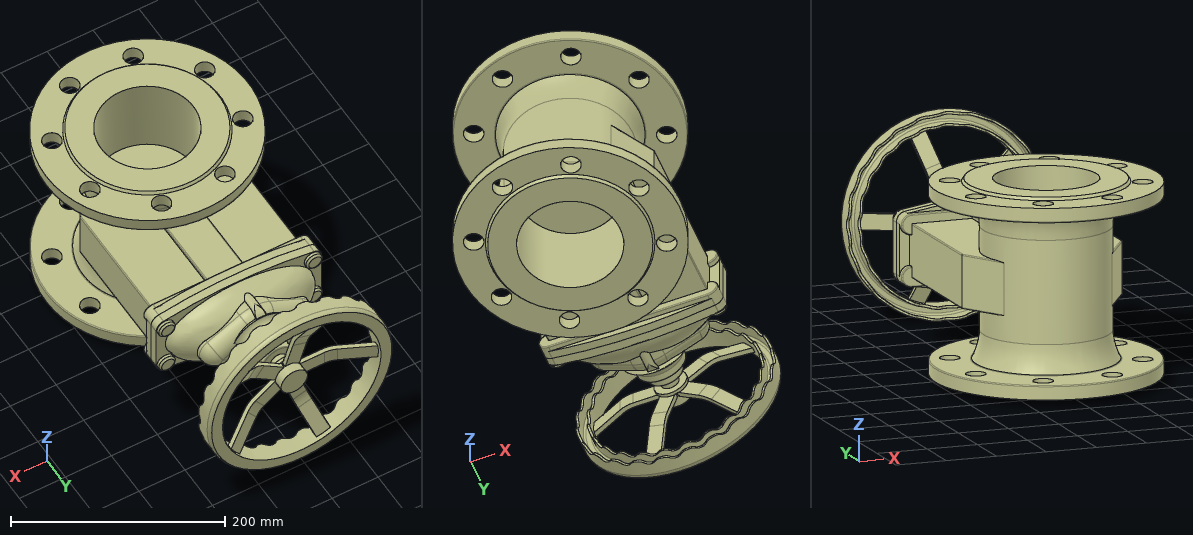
import cadquery as cq
import math


FACE_TO_FACE = 190.0
FLANGE_D = 220.0
FLANGE_T = 14.0
FLANGE_FILLET = 1.0
RAISED_FACE_H = 3.0
RAISED_FACE_D = 158.0
RAISED_FACE_TIP_D = 154.0
BORE_D = 100.0
GATE_T = 20.0
BOLT_CIRCLE_D = 180.0
FLANGE_HOLE_D = 19.0
FLANGE_HOLES = 8
BARREL_R = 62.5
BARREL_HALF_H = 50.0
FLARE_R = 70.0

CHAMBER_HALF_X = 80.0
CHAMBER_HALF_Z = 26.0
CHAMBER_SHOULDER_Y = 11.0
CHAMBER_TOE_Y = -33.5
RIB_HALF_X = 20.0
RIB_HALF_Z = 30.0
CHAMBER_FILLET = 1.0

JOINT_Y = 157.0
HOUSING_PLATE_T = 8.5
RAIL_T = 5.6
RAIL_FILLET = 1.0
BONNET_PLATE_T = 9.0
BOLT_X = 80.0
BOLT_Z = 25.0
CORNER_R = 10.0
PLATE_HALF_Z = 42.8

BOLT_SHANK_D = 10.0
BOLT_HEAD_D = 18.0
BOLT_HEAD_H = 5.0
BOLT_HEAD_CHAMFER = 2.0
BOLT_DEPTH = 10.0
SPOT_FACE_D = 20.0

SKIRT_HALF_X = 80.0
SKIRT_HALF_Z = 41.5
SKIRT_H = 37.0
CROWN_TOP_Y = 210.0
CROWN_FILLET = 15.8
CROWN_R = 36.0
NOSE_R = 16.0
NOSE_TIP_X = 60.0
CROWN_RIB_W = 10.62
CROWN_RIB_HALF_Z = 38.8
COLLAR_D = 50.0
COLLAR_TOP_Y = 226.0
COLLAR_FOOT_Y = 218.5
NECK_FOOT_R = 34.0
NECK_FOOT_DROP = 1.5
NECK_FLARE_R = 12.0
NECK_BASE_R = 24.0
GLAND_D = 35.0
GLAND_TOP_Y = 237.5
COLLAR_EDGE_FILLET = 0.8

WHEEL_R = 100.0
WHEEL_TOP_Y = 280.0
RIM_H = 21.5
RIM_INNER_R = 86.0
RIM_WALL = 2.5
RIM_WEB_T = 6.0
RIM_WEB_FILLET = 2.0
RIM_CROWN_H = 5.0
RIM_CROWN_INSET = 2.0
GRIP_WAVES = 24
GRIP_DEPTH = 4.0
SPOKES = 5
SPOKE_W = 16.0
SPOKE_T = 5.0
SPOKE_FLAT_R = 39.0
SPOKE_BEND_R = 53.5
SPOKE_RISE = 25.0
SPOKE_END_R = 87.5
HUB_BOTTOM_Y = 251.5
HUB_D = 28.89
HUB_H = 15.0
WASHER_D = 33.33
WASHER_H = 3.5
STEM_D = 17.78


def plan(y):
    """Sketch plane square to the stem at height y; local axes are X and Z."""
    return cq.Workplane("XZ", origin=(0, y, 0))


def rod(diameter, y_low, y_high):
    """Cylinder on the stem axis."""
    return plan(y_low).circle(diameter / 2).extrude(y_low - y_high)


def at_bolts(shape):
    """One copy of the shape at each of the four bolt positions."""
    return [shape.translate((sx * BOLT_X, 0, sz * BOLT_Z)) for sx in (-1, 1) for sz in (-1, 1)]


def joint_plate(y_low, y_high):
    """Plate with round corners about the bolts and long sides bowed outwards."""
    bow_z = PLATE_HALF_Z - BOLT_Z
    bow_r = (BOLT_X**2 + bow_z**2 - CORNER_R**2) / (2 * (bow_z - CORNER_R))
    tilt = math.asin(BOLT_X / (bow_r - CORNER_R))
    end_x = BOLT_X + CORNER_R
    tangent = (BOLT_X + CORNER_R * math.sin(tilt), BOLT_Z + CORNER_R * math.cos(tilt))
    half_turn = (math.pi / 2 - tilt) / 2
    corner = (BOLT_X + CORNER_R * math.cos(half_turn), BOLT_Z + CORNER_R * math.sin(half_turn))
    outline = (
        plan(y_low)
        .moveTo(end_x, -BOLT_Z)
        .lineTo(end_x, BOLT_Z)
        .threePointArc(corner, tangent)
        .threePointArc((0, PLATE_HALF_Z), (-tangent[0], tangent[1]))
        .threePointArc((-corner[0], corner[1]), (-end_x, BOLT_Z))
        .lineTo(-end_x, -BOLT_Z)
        .threePointArc((-corner[0], -corner[1]), (-tangent[0], -tangent[1]))
        .threePointArc((0, -PLATE_HALF_Z), (tangent[0], -tangent[1]))
        .threePointArc((corner[0], -corner[1]), (end_x, -BOLT_Z))
        .close()
    )
    return outline.extrude(y_low - y_high)


def make_bolt():
    """Round-headed bolt on the stem axis, ready to be moved to a corner."""
    seat_y = JOINT_Y + BONNET_PLATE_T
    head = rod(BOLT_HEAD_D, seat_y, seat_y + BOLT_HEAD_H).faces(">Y").chamfer(BOLT_HEAD_CHAMFER)
    return head.union(rod(BOLT_SHANK_D, JOINT_Y - BOLT_DEPTH, seat_y))


def bolt_hole():
    return rod(BOLT_SHANK_D, JOINT_Y - BOLT_DEPTH, JOINT_Y + BONNET_PLATE_T)


def pipe_end():
    """Upper flared neck with its flange and raised face."""
    face_z = FACE_TO_FACE / 2
    flange_top = face_z - RAISED_FACE_H
    flange_bottom = flange_top - FLANGE_T
    flare_h = flange_bottom - BARREL_HALF_H
    flare_out = FLARE_R - BARREL_R
    arc_r = (flare_h**2 + flare_out**2) / (2 * flare_out)
    half_angle = math.asin(flare_h / arc_r) / 2
    arc_mid = (
        BARREL_R + arc_r * (1 - math.cos(half_angle)),
        BARREL_HALF_H + arc_r * math.sin(half_angle),
    )
    profile = (
        cq.Workplane("XZ")
        .moveTo(0, BARREL_HALF_H)
        .lineTo(BARREL_R, BARREL_HALF_H)
        .threePointArc(arc_mid, (FLARE_R, flange_bottom))
        .lineTo(FLANGE_D / 2, flange_bottom)
        .lineTo(FLANGE_D / 2, flange_top)
        .lineTo(RAISED_FACE_D / 2, flange_top)
        .lineTo(RAISED_FACE_TIP_D / 2, face_z)
        .lineTo(0, face_z)
        .close()
    )
    inner_side = cq.selectors.BoxSelector((-1, -1, flange_bottom - 1), (1, 1, flange_bottom + 1))
    end = profile.revolve(360, (0, 0), (0, 1)).edges(inner_side).fillet(FLANGE_FILLET)
    holes = (
        cq.Workplane("XY", origin=(0, 0, flange_bottom))
        .polarArray(BOLT_CIRCLE_D / 2, 180 / FLANGE_HOLES, 360, FLANGE_HOLES)
        .circle(FLANGE_HOLE_D / 2)
        .extrude(FLANGE_T)
    )
    return end.cut(holes)


def gate_chamber():
    """Flat box for the gate, tapering into the barrel, with a thicker middle rib."""
    top_y = JOINT_Y - HOUSING_PLATE_T
    toe_x = math.sqrt(BARREL_R**2 - CHAMBER_TOE_Y**2)
    box = (
        cq.Workplane("XY", origin=(0, 0, -CHAMBER_HALF_Z))
        .polyline([
            (-CHAMBER_HALF_X, top_y),
            (-CHAMBER_HALF_X, CHAMBER_SHOULDER_Y),
            (-toe_x, CHAMBER_TOE_Y),
            (toe_x, CHAMBER_TOE_Y),
            (CHAMBER_HALF_X, CHAMBER_SHOULDER_Y),
            (CHAMBER_HALF_X, top_y),
        ])
        .close()
        .extrude(2 * CHAMBER_HALF_Z)
        .faces("|Z")
        .edges("not |X")
        .fillet(CHAMBER_FILLET)
    )
    rib = plan(0).rect(2 * RIB_HALF_X, 2 * RIB_HALF_Z).extrude(-top_y)
    return box.union(rib.edges("|Y").fillet(CHAMBER_FILLET))


def make_housing():
    upper_end = pipe_end()
    barrel = cq.Workplane("XY").cylinder(2 * BARREL_HALF_H, BARREL_R)
    housing = barrel.union(upper_end).union(upper_end.mirror("XY")).union(gate_chamber())
    plate_bottom = JOINT_Y - HOUSING_PLATE_T
    housing = housing.union(joint_plate(plate_bottom, JOINT_Y))
    rails = (
        plan(plate_bottom - RAIL_T)
        .pushPoints([(0, BOLT_Z), (0, -BOLT_Z)])
        .slot2D(2 * (BOLT_X + CORNER_R), 2 * CORNER_R)
        .extrude(-RAIL_T)
        .faces("<Y")
        .edges()
        .fillet(RAIL_FILLET)
    )
    housing = housing.union(rails)
    pocket_depth = (FACE_TO_FACE - GATE_T) / 2
    pocket = cq.Workplane("XY", origin=(0, 0, GATE_T / 2)).circle(BORE_D / 2).extrude(pocket_depth)
    housing = housing.cut(pocket).cut(pocket.mirror("XY"))
    for hole in at_bolts(bolt_hole()):
        housing = housing.cut(hole)
    return housing


def skirt():
    """Lower dome of the bonnet: the upper half of an ellipsoid."""
    base_y = JOINT_Y + BONNET_PLATE_T
    stretch = cq.Matrix([
        [SKIRT_HALF_X, 0, 0, 0],
        [0, SKIRT_H, 0, base_y],
        [0, 0, SKIRT_HALF_Z, 0],
    ])
    ellipsoid = cq.Workplane(cq.Workplane("XY").sphere(1).val().transformGeometry(stretch))
    upper = plan(base_y).rect(2 * SKIRT_HALF_X, 2 * SKIRT_HALF_Z).extrude(-SKIRT_H)
    return ellipsoid.intersect(upper)


def crown():
    """Rounded upper dome: a middle circle joined by tangents to a nose circle at each end."""
    base_y = JOINT_Y + BONNET_PLATE_T
    nose_x = NOSE_TIP_X - NOSE_R
    lean = math.asin((CROWN_R - NOSE_R) / nose_x)
    mid_x = CROWN_R * math.sin(lean)
    mid_z = CROWN_R * math.cos(lean)
    end_x = nose_x + NOSE_R * math.sin(lean)
    end_z = NOSE_R * math.cos(lean)
    body = (
        plan(base_y)
        .moveTo(-mid_x, mid_z)
        .threePointArc((0, CROWN_R), (mid_x, mid_z))
        .lineTo(end_x, end_z)
        .threePointArc((NOSE_TIP_X, 0), (end_x, -end_z))
        .lineTo(mid_x, -mid_z)
        .threePointArc((0, -CROWN_R), (-mid_x, -mid_z))
        .lineTo(-end_x, -end_z)
        .threePointArc((-NOSE_TIP_X, 0), (-end_x, end_z))
        .close()
        .extrude(base_y - CROWN_TOP_Y)
        .faces(">Y")
        .edges()
        .fillet(CROWN_FILLET)
    )
    return body.union(crown_rib())


def crown_rib():
    """Narrow round-ended rib across the crown, its ends curving down to the bonnet plate."""
    base_y = JOINT_Y + BONNET_PLATE_T
    edge_y = CROWN_TOP_Y - CROWN_FILLET
    shoulder_z = CROWN_RIB_HALF_Z - CROWN_FILLET
    slot = plan(base_y).slot2D(2 * CROWN_RIB_HALF_Z, CROWN_RIB_W, 90).extrude(base_y - CROWN_TOP_Y)
    profile = (
        cq.Workplane("YZ", origin=(-CROWN_RIB_W / 2, 0, 0))
        .moveTo(base_y, -CROWN_RIB_HALF_Z)
        .lineTo(edge_y, -CROWN_RIB_HALF_Z)
        .radiusArc((CROWN_TOP_Y, -shoulder_z), -CROWN_FILLET)
        .lineTo(CROWN_TOP_Y, shoulder_z)
        .radiusArc((edge_y, CROWN_RIB_HALF_Z), -CROWN_FILLET)
        .lineTo(base_y, CROWN_RIB_HALF_Z)
        .close()
        .extrude(CROWN_RIB_W)
    )
    return slot.intersect(profile)


def neck():
    """Flared neck, collar and gland, turned about the stem axis."""
    collar_r = COLLAR_D / 2
    base_y = CROWN_TOP_Y - CROWN_FILLET
    foot_y = CROWN_TOP_Y - NECK_FOOT_DROP
    profile = (
        cq.Workplane("XY")
        .moveTo(0, base_y)
        .lineTo(NECK_BASE_R, base_y)
        .lineTo(NECK_FOOT_R, foot_y)
        .radiusArc((collar_r, COLLAR_FOOT_Y), NECK_FLARE_R)
        .lineTo(collar_r, COLLAR_TOP_Y)
        .lineTo(GLAND_D / 2, COLLAR_TOP_Y)
        .lineTo(GLAND_D / 2, GLAND_TOP_Y)
        .lineTo(0, GLAND_TOP_Y)
        .close()
    )
    turned = profile.revolve(360, (0, 0), (0, 1))
    for rim_y in (COLLAR_TOP_Y, GLAND_TOP_Y):
        rims = cq.selectors.BoxSelector((-1, rim_y - 1, -1), (1, rim_y + 1, 1))
        turned = turned.edges(rims).edges(cq.selectors.RadiusNthSelector(-1)).fillet(COLLAR_EDGE_FILLET)
    return turned


def make_bonnet():
    seat_y = JOINT_Y + BONNET_PLATE_T
    dome = skirt().union(crown()).union(neck())
    for spot_face in at_bolts(rod(SPOT_FACE_D, seat_y, seat_y + SKIRT_H)):
        dome = dome.cut(spot_face)
    bonnet = joint_plate(JOINT_Y, seat_y).union(dome)
    for hole in at_bolts(bolt_hole()):
        bonnet = bonnet.cut(hole)
    return bonnet


def grip_wave(bottom_y):
    """Cutter for one hollow of the wavy rim edge: a round trough between two half crests."""
    pitch = 2 * math.pi * RIM_INNER_R / GRIP_WAVES
    mid_y = bottom_y + GRIP_DEPTH / 2
    wave_r = (pitch**2 / 16 + GRIP_DEPTH**2 / 4) / GRIP_DEPTH
    return (
        cq.Workplane("XY", origin=(0, 0, RIM_INNER_R - RIM_WALL))
        .moveTo(-pitch / 2, bottom_y)
        .radiusArc((-pitch / 4, mid_y), -wave_r)
        .radiusArc((pitch / 4, mid_y), wave_r)
        .radiusArc((pitch / 2, bottom_y), -wave_r)
        .lineTo(pitch / 2, bottom_y - GRIP_DEPTH)
        .lineTo(-pitch / 2, bottom_y - GRIP_DEPTH)
        .close()
        .extrude(WHEEL_R - RIM_INNER_R + 2 * RIM_WALL)
    )


def rim():
    """Channel-shaped rim, open towards the valve, with wavy wall edges."""
    bottom_y = WHEEL_TOP_Y - RIM_H
    crown_y = WHEEL_TOP_Y - RIM_CROWN_H
    web_y = WHEEL_TOP_Y - RIM_WEB_T
    crown_r = (RIM_CROWN_H**2 + RIM_CROWN_INSET**2) / (2 * RIM_CROWN_INSET)
    ring = (
        cq.Workplane("XY")
        .moveTo(RIM_INNER_R, bottom_y)
        .lineTo(RIM_INNER_R + RIM_WALL, bottom_y)
        .lineTo(RIM_INNER_R + RIM_WALL, web_y)
        .lineTo(WHEEL_R - RIM_WALL, web_y)
        .lineTo(WHEEL_R - RIM_WALL, bottom_y)
        .lineTo(WHEEL_R, bottom_y)
        .lineTo(WHEEL_R, crown_y)
        .radiusArc((WHEEL_R - RIM_CROWN_INSET, WHEEL_TOP_Y), -crown_r)
        .lineTo(RIM_INNER_R, WHEEL_TOP_Y)
        .close()
        .revolve(360, (0, 0), (0, 1))
        .edges(cq.selectors.BoxSelector((-1, web_y - 1, -1), (1, web_y + 1, 1)))
        .fillet(RIM_WEB_FILLET)
    )
    wave = grip_wave(bottom_y)
    for i in range(GRIP_WAVES):
        ring = ring.cut(wave.rotate((0, 0, 0), (0, 1, 0), 360 * i / GRIP_WAVES))
    return ring


def spoke():
    """Spoke towards -X: flat at the hub, bent, then rising straight into the rim."""
    rise = math.radians(SPOKE_RISE)
    bend_r = (SPOKE_BEND_R - SPOKE_FLAT_R) / math.sin(rise)

    def bend(angle, offset):
        reach = (bend_r - offset) * math.sin(angle)
        lift = bend_r - (bend_r - offset) * math.cos(angle)
        return (-SPOKE_FLAT_R - reach, HUB_BOTTOM_Y + lift)

    low_end = bend(rise, 0)
    high_end = bend(rise, SPOKE_T)
    run = SPOKE_END_R + low_end[0]
    tip = (-SPOKE_END_R, low_end[1] + run * math.tan(rise))
    tip_high = (-SPOKE_END_R, tip[1] + SPOKE_T / math.cos(rise))
    profile = (
        cq.Workplane("XY", origin=(0, 0, -SPOKE_W / 2))
        .moveTo(0, HUB_BOTTOM_Y)
        .lineTo(-SPOKE_FLAT_R, HUB_BOTTOM_Y)
        .threePointArc(bend(rise / 2, 0), low_end)
        .lineTo(*tip)
        .lineTo(*tip_high)
        .lineTo(*high_end)
        .threePointArc(bend(rise / 2, SPOKE_T), (-SPOKE_FLAT_R, HUB_BOTTOM_Y + SPOKE_T))
        .lineTo(0, HUB_BOTTOM_Y + SPOKE_T)
        .close()
    )
    return profile.extrude(SPOKE_W)


def make_handwheel():
    wheel = rim()
    for i in range(SPOKES):
        wheel = wheel.union(spoke().rotate((0, 0, 0), (0, 1, 0), 360 * i / SPOKES))
    washer_y = HUB_BOTTOM_Y - WASHER_H
    wheel = wheel.union(rod(HUB_D, HUB_BOTTOM_Y, HUB_BOTTOM_Y + HUB_H))
    wheel = wheel.union(rod(WASHER_D, washer_y, HUB_BOTTOM_Y))
    return wheel.union(rod(STEM_D, GLAND_TOP_Y, washer_y))


housing = make_housing()
bonnet = make_bonnet()
handwheel = make_handwheel()
bolts = at_bolts(make_bolt())

result = cq.Compound.makeCompound(
    [housing.val(), bonnet.val(), handwheel.val(), *[bolt.val() for bolt in bolts]]
)